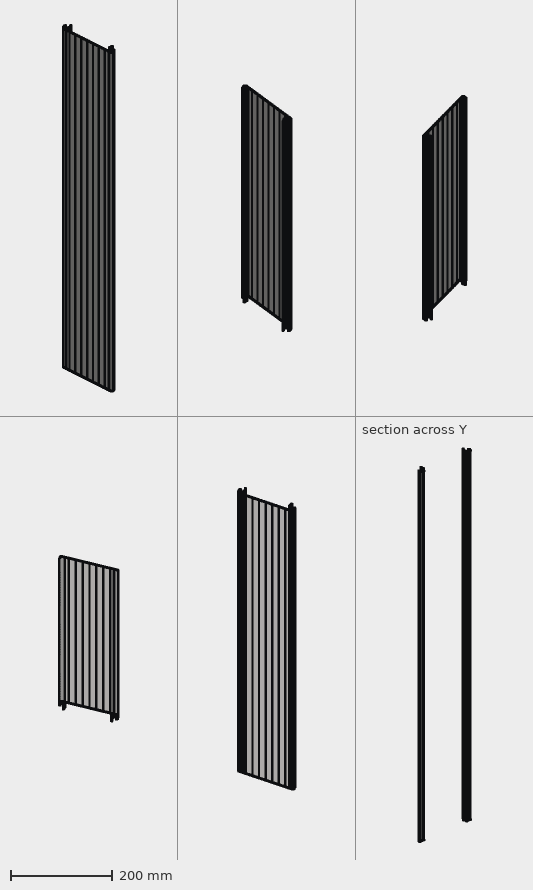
import cadquery as cq
import math

LENGTH = 1000.0
WIDTH = 120.0
WALL = 1.4
HOOK_HEIGHT = 15.0

HALF_WIDTH = WIDTH / 2
DEPTH = WALL + HOOK_HEIGHT
FRONT_Y = -DEPTH / 2
TIP_Y = DEPTH / 2
PLATE_BACK_Y = FRONT_Y + WALL

RAIL_BACK_Y = -2.6
CORNER_RADIUS = 4.0
CHANNEL_CORNER_RADIUS = CORNER_RADIUS - WALL

LIP_TOP_Y = 2.1
LIP_THICKNESS = 3.0
LIP_CHAMFER = 1.5
LIP_INNER_X = HALF_WIDTH - LIP_THICKNESS

STEM_OUTER_X = 51.0
STEM_INNER_X = STEM_OUTER_X - WALL
HOOK_THICKNESS = 2.0
JOG_Y = 1.2
WAIST_INSET = 2.5
BEND_INSET = 1.0
TIP_INSET = 0.6
WAIST_X = STEM_OUTER_X - WAIST_INSET
WAIST_Y = 2.5
BEND_X = STEM_OUTER_X - BEND_INSET
BEND_Y = 5.5
TIP_X = STEM_OUTER_X - TIP_INSET

GROOVE_COUNT = 7
GROOVE_PITCH = 14.0
GROOVE_WIDTH = 0.8
GROOVE_DEPTH = 0.3
SIDE_GROOVE_Y = -2.0


def extrude_both(outline):
    """Extrude a closed XY outline over the full length, centred on Z."""
    return outline.extrude(LENGTH / 2, both=True)


def corner_round_middle(x, y, radius):
    """Middle point of the round that replaces an outer front corner at (x, y)."""
    inset = radius * (1 - math.sqrt(0.5))
    return (x - inset, y + inset)


def half_body():
    """Right half of the strip: plate, rail, lip and hook, without the rail channel."""
    outline = (
        cq.Workplane("XY")
        .moveTo(0, FRONT_Y)
        .lineTo(HALF_WIDTH - CORNER_RADIUS, FRONT_Y)
        .threePointArc(
            corner_round_middle(HALF_WIDTH, FRONT_Y, CORNER_RADIUS),
            (HALF_WIDTH, FRONT_Y + CORNER_RADIUS),
        )
        .lineTo(HALF_WIDTH, SIDE_GROOVE_Y - GROOVE_WIDTH / 2)
        .lineTo(HALF_WIDTH - GROOVE_DEPTH, SIDE_GROOVE_Y)
        .lineTo(HALF_WIDTH, SIDE_GROOVE_Y + GROOVE_WIDTH / 2)
        .lineTo(HALF_WIDTH, LIP_TOP_Y - LIP_CHAMFER)
        .lineTo(HALF_WIDTH - LIP_CHAMFER, LIP_TOP_Y)
        .lineTo(LIP_INNER_X, LIP_TOP_Y)
        .lineTo(LIP_INNER_X, RAIL_BACK_Y)
        .lineTo(STEM_OUTER_X, RAIL_BACK_Y)
        .lineTo(STEM_OUTER_X, JOG_Y)
        .lineTo(WAIST_X, WAIST_Y)
        .lineTo(BEND_X, BEND_Y)
        .lineTo(TIP_X, TIP_Y)
        .lineTo(TIP_X - HOOK_THICKNESS, TIP_Y)
        .lineTo(BEND_X - HOOK_THICKNESS, BEND_Y)
        .lineTo(WAIST_X - HOOK_THICKNESS, WAIST_Y)
        .lineTo(WAIST_X - HOOK_THICKNESS, JOG_Y)
        .lineTo(STEM_INNER_X, JOG_Y)
        .lineTo(STEM_INNER_X, PLATE_BACK_Y)
        .lineTo(0, PLATE_BACK_Y)
        .close()
    )
    return extrude_both(outline)


def rail_channel():
    """Hollow inside the right rail, one wall thickness inside its outer faces."""
    outer_x = HALF_WIDTH - WALL
    outline = (
        cq.Workplane("XY")
        .moveTo(STEM_OUTER_X, PLATE_BACK_Y)
        .lineTo(outer_x - CHANNEL_CORNER_RADIUS, PLATE_BACK_Y)
        .threePointArc(
            corner_round_middle(outer_x, PLATE_BACK_Y, CHANNEL_CORNER_RADIUS),
            (outer_x, PLATE_BACK_Y + CHANNEL_CORNER_RADIUS),
        )
        .lineTo(outer_x, RAIL_BACK_Y - WALL)
        .lineTo(STEM_OUTER_X, RAIL_BACK_Y - WALL)
        .close()
    )
    return extrude_both(outline)


def groove_cutter(x):
    """V-shaped cutter along the full length at the given place across the front face."""
    outline = (
        cq.Workplane("XY")
        .moveTo(x - GROOVE_WIDTH / 2, FRONT_Y)
        .lineTo(x + GROOVE_WIDTH / 2, FRONT_Y)
        .lineTo(x, FRONT_Y + GROOVE_DEPTH)
        .close()
    )
    return extrude_both(outline)


right_half = half_body().cut(rail_channel())
result = right_half.union(right_half.mirror("YZ"))

for index in range(GROOVE_COUNT):
    groove_x = (index - (GROOVE_COUNT - 1) / 2) * GROOVE_PITCH
    result = result.cut(groove_cutter(groove_x))